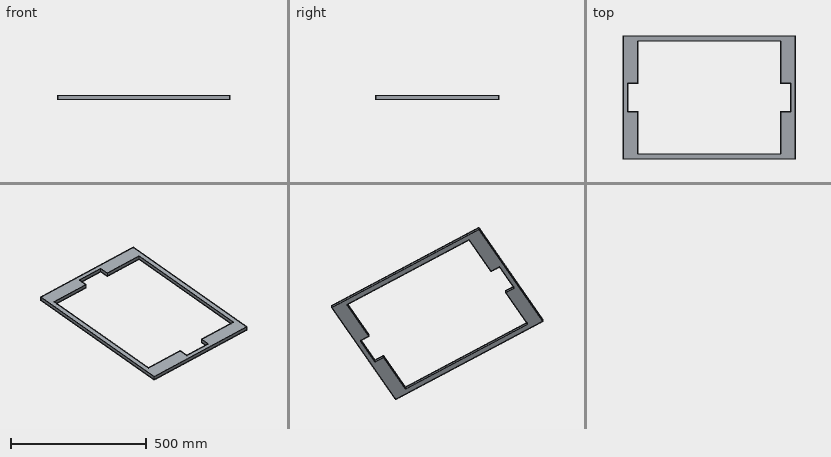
import cadquery as cq

length = 634.0
width = 453.0
thickness = 15.0

long_side_border = 19.0
short_side_border = 54.0

notch_border = 17.0
notch_width = 104.0

window_length = length - 2 * short_side_border
window_width = width - 2 * long_side_border
notch_span = length - 2 * notch_border

plate = cq.Workplane("XY").box(length, width, thickness)
window = cq.Workplane("XY").box(window_length, window_width, thickness)

notches = cq.Workplane("XY").box(notch_span, notch_width, thickness)

result = plate.cut(window).cut(notches)